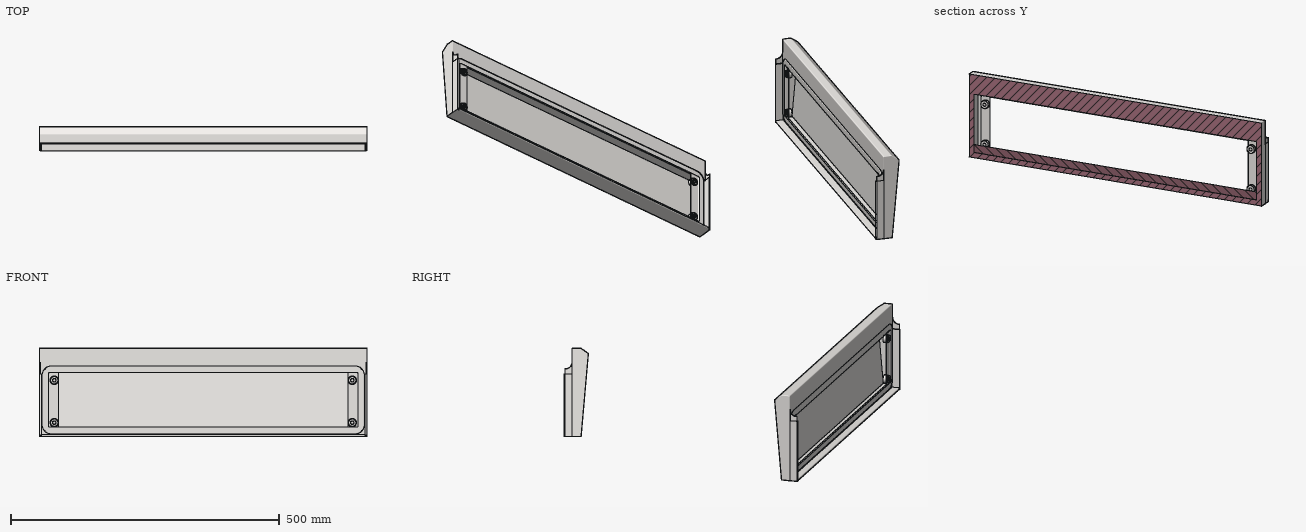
import cadquery as cq
import math

LENGTH = 610.0
DEPTH = 45.39
HEIGHT = 165.0

FRONT_Y = 14.7
BACK_TILT = math.radians(5.0)
TOP_SLOPE = math.radians(35.0)
TOP_BACK_Y = 31.0
EDGE_RADIUS = 2.0
END_RADIUS = 1.0

CHEEK_THICKNESS = 3.9
CHEEK_INSET = 0.3
CHEEK_TOP = 117.0
CHEEK_NOSE_RADIUS = 5.6
BLADE_THICKNESS = 1.2
LIP_NOSE_RADIUS = 1.8
COVE_RADIUS = 12.0
COVE_START_Z = 138.5

FRAME_BOTTOM = 5.0
FRAME_TOP = 131.5
FRAME_SIDE_GAP = 5.0
FRAME_CORNER_RADIUS = 17.0
FRAME_Y = 13.0
FRAME_EDGE_RADIUS = 1.2

RECESS_LENGTH = 577.0
RECESS_BOTTOM = 17.5
RECESS_TOP = 119.5
RECESS_CORNER_RADIUS = 3.0
RECESS_FLOOR_RADIUS = 1.3
WEB_Y = 15.2
WEB_THICKNESS = 1.0
WINDOW_LENGTH = 539.0

CAVITY_MARGIN = 6.0
PANEL_THICKNESS = 3.0

SCREW_X = 277.5
SCREW_ROWS_Z = (26.0, 105.0)
HEAD_RADIUS = 6.8
HEAD_HEIGHT = 2.0
SOCKET_RADIUS = 3.4
SOCKET_DEPTH = 1.5
SHANK_RADIUS = 3.0
BOSS_RADIUS = 7.8
BOSS_LENGTH = 6.0

WEB_BACK_Y = WEB_Y + WEB_THICKNESS
BOSS_BACK_Y = WEB_BACK_Y + BOSS_LENGTH
CAVITY_LENGTH = RECESS_LENGTH + 2 * CAVITY_MARGIN
CAVITY_BOTTOM = RECESS_BOTTOM - CAVITY_MARGIN
CAVITY_TOP = RECESS_TOP + CAVITY_MARGIN

RIDGE_TURN = math.pi / 2 - TOP_SLOPE + BACK_TILT
RIDGE_INSET = (math.cos(BACK_TILT) + math.sin(TOP_SLOPE)) / (1 + math.cos(RIDGE_TURN))
RIDGE_Y = DEPTH + EDGE_RADIUS * (RIDGE_INSET - 1)
RIDGE_Z = HEIGHT - (RIDGE_Y - TOP_BACK_Y) * math.tan(TOP_SLOPE)


def back_y(z):
    """Y of the slanted back face at height z."""
    return RIDGE_Y - (RIDGE_Z - z) * math.tan(BACK_TILT)


def prism(outline, length, x_centre=0.0):
    """Extrude a closed (Y, Z) outline along X, centred on x_centre."""
    return outline.extrude(length / 2, both=True).translate((x_centre, 0, 0))


def yz_polygon(points):
    return cq.Workplane("YZ").polyline(points).close()


def front_plate(length, bottom, top, y_front, y_back):
    """A block given by its X length, Z limits and Y limits."""
    return cq.Workplane("XY").box(length, y_back - y_front, top - bottom).translate(
        (0, (y_front + y_back) / 2, (bottom + top) / 2)
    )


def cylinder(x, z, radius, y_front, y_back):
    """A cylinder along Y."""
    return cq.Workplane("XZ", origin=(x, y_front, z)).circle(radius).extrude(y_front - y_back)


def make_wedge():
    outline = yz_polygon(
        [
            (FRONT_Y, 0),
            (FRONT_Y, HEIGHT),
            (TOP_BACK_Y, HEIGHT),
            (RIDGE_Y, RIDGE_Z),
            (back_y(0), 0),
        ]
    )
    above_ridge = cq.selectors.BoxSelector(
        (-LENGTH, 0, RIDGE_Z - 1), (LENGTH, RIDGE_Y + 1, HEIGHT + 1)
    )
    wedge = prism(outline, LENGTH).edges("|X").edges(above_ridge).fillet(EDGE_RADIUS)
    return wedge.faces("<X or >X").edges("not <Z").fillet(END_RADIUS)


def make_left_cheek():
    """Upright cheek whose front swells from its outer edge to a crest at its inner edge."""
    outer_x = -LENGTH / 2 + CHEEK_INSET
    inner_x = -LENGTH / 2 + CHEEK_THICKNESS
    root_y = FRONT_Y + END_RADIUS
    half_width = (inner_x - outer_x) / 2
    outer_y = nose_setback(2 * half_width)
    return (
        cq.Workplane("XY")
        .moveTo(outer_x, root_y)
        .lineTo(outer_x, outer_y)
        .threePointArc((inner_x - half_width, nose_setback(half_width)), (inner_x, 0))
        .lineTo(inner_x, root_y)
        .close()
        .extrude(CHEEK_TOP)
    )


def nose_setback(distance):
    """How far the cheek's nose arc lies behind its crest at a distance from the crest."""
    return CHEEK_NOSE_RADIUS - math.sqrt(CHEEK_NOSE_RADIUS**2 - distance**2)


def make_left_blade():
    """Thin blade above the cheek, with a concave top that runs up into the front face."""
    cove_centre_y = FRONT_Y - COVE_RADIUS
    cove_bottom_z = COVE_START_Z - COVE_RADIUS
    root_y = FRONT_Y + END_RADIUS
    front_y = nose_setback(CHEEK_THICKNESS - CHEEK_INSET)
    diagonal = COVE_RADIUS * math.sqrt(0.5)
    outline = (
        cq.Workplane("YZ")
        .moveTo(front_y, CHEEK_TOP)
        .lineTo(root_y, CHEEK_TOP)
        .lineTo(root_y, COVE_START_Z)
        .lineTo(FRONT_Y, COVE_START_Z)
        .threePointArc(
            (cove_centre_y + diagonal, COVE_START_Z - diagonal),
            (cove_centre_y, cove_bottom_z),
        )
        .lineTo(front_y, cove_bottom_z)
        .close()
    )
    x_centre = -LENGTH / 2 + CHEEK_INSET + BLADE_THICKNESS / 2
    return prism(outline, BLADE_THICKNESS, x_centre)


def make_lip():
    """Bottom lip with a half-round nose, reaching from cheek to cheek."""
    outline = (
        cq.Workplane("YZ")
        .moveTo(FRONT_Y, 0)
        .lineTo(LIP_NOSE_RADIUS, 0)
        .threePointArc((0, LIP_NOSE_RADIUS), (LIP_NOSE_RADIUS, 2 * LIP_NOSE_RADIUS))
        .lineTo(FRONT_Y, 2 * LIP_NOSE_RADIUS)
        .close()
    )
    return prism(outline, LENGTH - CHEEK_THICKNESS)


def make_rim():
    left_end = make_left_cheek().union(make_left_blade())
    return make_lip().union(left_end).union(left_end.mirror("YZ"))


def make_frame():
    return (
        front_plate(LENGTH - 2 * FRAME_SIDE_GAP, FRAME_BOTTOM, FRAME_TOP, FRAME_Y, WEB_Y)
        .edges("|Y")
        .fillet(FRAME_CORNER_RADIUS)
        .faces("<Y")
        .edges()
        .fillet(FRAME_EDGE_RADIUS)
    )


def make_recess():
    return (
        front_plate(RECESS_LENGTH, RECESS_BOTTOM, RECESS_TOP, 0, WEB_Y)
        .edges("|Y")
        .fillet(RECESS_CORNER_RADIUS)
        .faces(">Y")
        .edges()
        .fillet(RECESS_FLOOR_RADIUS)
    )


def make_cavity():
    outline = yz_polygon(
        [
            (WEB_BACK_Y, CAVITY_BOTTOM),
            (WEB_BACK_Y, CAVITY_TOP),
            (back_y(CAVITY_TOP), CAVITY_TOP),
            (back_y(CAVITY_BOTTOM), CAVITY_BOTTOM),
        ]
    )
    return prism(outline, CAVITY_LENGTH)


def screw_places():
    return [(side * SCREW_X, z) for side in (-1, 1) for z in SCREW_ROWS_Z]


def make_housing():
    housing = make_wedge().union(make_rim()).union(make_frame())
    housing = housing.cut(make_recess()).cut(make_cavity())
    window = front_plate(WINDOW_LENGTH, RECESS_BOTTOM, RECESS_TOP, 0, WEB_BACK_Y)
    housing = housing.cut(window)
    for x, z in screw_places():
        housing = housing.union(cylinder(x, z, BOSS_RADIUS, WEB_BACK_Y, BOSS_BACK_Y))
        housing = housing.cut(cylinder(x, z, SHANK_RADIUS, WEB_Y, BOSS_BACK_Y))
    return housing


def make_back_panel():
    """Slanted plate that closes the cavity flush with the back of the housing."""
    panel_depth = PANEL_THICKNESS / math.cos(BACK_TILT)
    outline = yz_polygon(
        [
            (back_y(CAVITY_BOTTOM) - panel_depth, CAVITY_BOTTOM),
            (back_y(CAVITY_TOP) - panel_depth, CAVITY_TOP),
            (back_y(CAVITY_TOP), CAVITY_TOP),
            (back_y(CAVITY_BOTTOM), CAVITY_BOTTOM),
        ]
    )
    return prism(outline, CAVITY_LENGTH)


def make_screw(x, z):
    head_front_y = WEB_Y - HEAD_HEIGHT
    head = cylinder(x, z, HEAD_RADIUS, head_front_y, WEB_Y)
    shank = cylinder(x, z, SHANK_RADIUS, WEB_Y, BOSS_BACK_Y)
    socket = cylinder(x, z, SOCKET_RADIUS, head_front_y, head_front_y + SOCKET_DEPTH)
    return head.union(shank).cut(socket)


housing = make_housing()
back_panel = make_back_panel()
screws = [make_screw(x, z) for x, z in screw_places()]

result = cq.Compound.makeCompound(
    [housing.val(), back_panel.val(), *[screw.val() for screw in screws]]
)